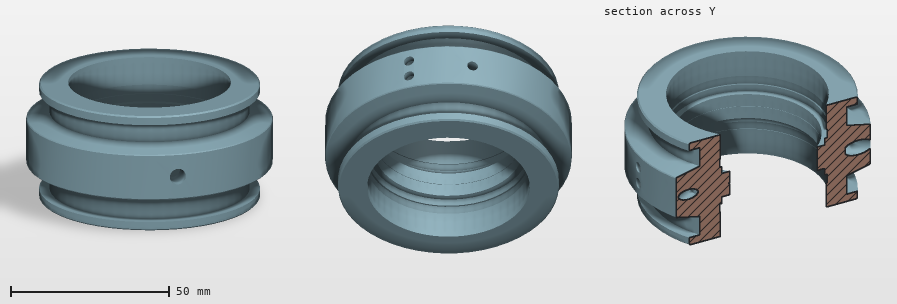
import cadquery as cq
import math

height = 38.0
half_height = height / 2

band_radius = 39.0
band_half_height = 7.2
band_chamfer_width = 0.2
band_chamfer_height = 0.3
neck_radius = 31.7
cone_top = 9.4
rim_radius = 34.95
rim_thickness = 2.9
rim_chamfer = 0.5

bore_radius = 25.75
bore_depth = 9.1
groove_radius = 26.0
groove_width = 3.0
seat_radius = 25.4
land_radius = 23.5
land_half_height = 4.45
center_groove_half_width = 0.1
center_groove_depth = 0.15

dimple_diameter = 3.4
dimple_wall_depth = 2.35
dimple_tip_depth = 1.0
dimple_offset = 3.0
side_hole_angle = 30.0
small_hole_diameter = 3.4
large_hole_diameter = 5.15
hole_depth = 7.8
cutter_overlap = 0.8


def ring():
    """Revolve the half section, listing its upper half and mirroring it in z."""
    bore_end = half_height - bore_depth
    groove_end = bore_end - groove_width
    rim_bottom = half_height - rim_thickness
    upper = [
        (band_radius, band_half_height),
        (band_radius - band_chamfer_width, band_half_height + band_chamfer_height),
        (neck_radius, cone_top),
        (neck_radius, rim_bottom),
        (rim_radius, rim_bottom),
        (rim_radius, half_height - rim_chamfer),
        (rim_radius - rim_chamfer, half_height),
        (bore_radius, half_height),
        (bore_radius, bore_end),
        (groove_radius, bore_end),
        (groove_radius, groove_end),
        (seat_radius, groove_end),
        (seat_radius, land_half_height),
        (land_radius, land_half_height),
        (land_radius, center_groove_half_width),
        (land_radius + center_groove_depth, center_groove_half_width),
    ]
    lower = [(radius, -z) for radius, z in reversed(upper)]
    section = cq.Workplane("XZ").polyline(upper + lower).close()
    return section.revolve(360, (0, 0, 0), (0, 1, 0))


def radial_hole(diameter, angle):
    """Blind hole drilled toward the axis; angle is measured from +X."""
    direction = cq.Vector(math.cos(math.radians(angle)), math.sin(math.radians(angle)), 0)
    start = direction * (band_radius + cutter_overlap)
    return cq.Solid.makeCylinder(diameter / 2, hole_depth + cutter_overlap, start, direction * -1)


def dimple(z):
    """Blind hole with a conical tip in the -X side of the band."""
    radius = dimple_diameter / 2
    inward = cq.Vector(1, 0, 0)
    start = cq.Vector(-band_radius - cutter_overlap, 0, z)
    tip_start = cq.Vector(-band_radius + dimple_wall_depth, 0, z)
    wall = cq.Solid.makeCylinder(radius, dimple_wall_depth + cutter_overlap, start, inward)
    tip = cq.Solid.makeCone(radius, 0, dimple_tip_depth, tip_start, inward)
    return wall.fuse(tip)


result = ring()
for dimple_z in (-dimple_offset, dimple_offset):
    result = result.cut(cq.Workplane(dimple(dimple_z)))
result = result.cut(cq.Workplane(radial_hole(small_hole_diameter, 180 + side_hole_angle)))
result = result.cut(cq.Workplane(radial_hole(large_hole_diameter, -side_hole_angle)))